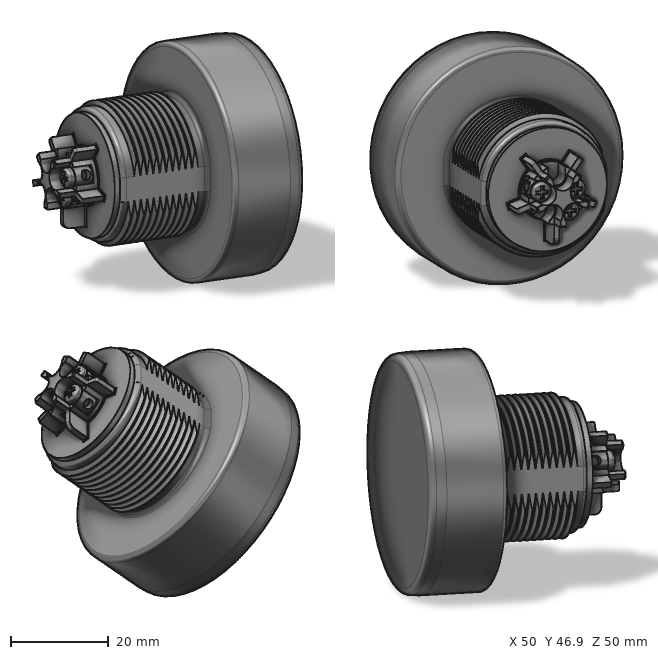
import cadquery as cq
import math


head_radius = 25.0
head_length = 16.55
head_front_fillet = 1.0
cap_length = 3.5
cap_back_radius = 24.7
cap_fillet = 1.5

stem_radius = 14.0
stem_length = 20.0
stem_fillet = 0.95
flat_distance = 13.75
disc_radius = 13.0
disc_length = 1.3

thread_radius = 15.0
thread_pitch = 1.5
thread_half_turns = 21
thread_start = 2.2
thread_crest = thread_pitch / 8
thread_overlap = 0.15
thread_flank_angle = 30

station_count = 5
station_step = 360 / station_count
station_circle = 3.95
block_start = stem_length + disc_length
block_radius = 6.15
block_height = 5.25
foot_flare = 0.25
foot_angle = 45
crown_start = block_start + block_height
crown_height = 3.8
crown_hub_radius = 3.5
crown_bore_radius = 2.2
pocket_radius = 1.9
pocket_floor = 1.15

rib_width = 1.2
rib_reach = 9.0
rib_corner = 0.4
key_rib_reach = 10.6
key_rib_corner = 1.5
arm_reach = 6.0
arm_fillet = 0.3
arm_tip_chamfer = 0.3

screw_head_radius = 2.1
screw_head_height = 1.6
screw_head_fillet = 0.75
slot_length = 2.7
slot_width = 0.75
slot_depth = 0.8
wire_hole_radius = 1.05
wire_hole_height = 2.65

first_station = 90
station_angles = [first_station + i * station_step for i in range(station_count)]
rib_angles = [angle + station_step / 2 for angle in station_angles]
key_rib_angle = 270
empty_stations = (90, 234)
screw_stations = [angle for angle in station_angles if angle not in empty_stations]


def front_plane(depth):
    """Workplane facing -Y: local x is X, local y is Z."""
    return cq.Workplane("XZ", origin=(0, -depth, 0))


def turned(shape, angle):
    """Turn a shape drawn along +X about the part axis, from +X towards +Z."""
    return shape.rotate((0, 0, 0), (0, -1, 0), angle)


def make_head():
    cap_seam = head_length - cap_length
    profile = (
        cq.Workplane("XY")
        .moveTo(0, 0)
        .lineTo(head_radius, 0)
        .lineTo(head_radius, cap_seam)
        .lineTo(cap_back_radius, head_length)
        .lineTo(0, head_length)
        .close()
    )
    head = profile.revolve(360, (0, 0, 0), (0, 1, 0))
    head = head.faces("<Y").edges().fillet(head_front_fillet)
    return head.faces(">Y").edges().fillet(cap_fillet)


def between_flats(depth):
    """Slab between the two side flats, wider in Z than any stem feature."""
    return front_plane(0).rect(2 * flat_distance, 2 * head_radius).extrude(depth)


def make_stem():
    stem = front_plane(0).circle(stem_radius).extrude(stem_length)
    stem = stem.intersect(between_flats(stem_length))
    stem = stem.faces("<Y").edges().fillet(stem_fillet)
    disc = front_plane(stem_length).circle(disc_radius).extrude(disc_length)
    return stem.union(disc)


def make_head_and_stem():
    body = make_head().union(make_stem())
    margin = 0.05
    stem_root = cq.selectors.BoxSelector(
        (-thread_radius, -margin, -thread_radius),
        (thread_radius, margin, thread_radius),
        boundingbox=True,
    )
    return body.edges(stem_root).fillet(stem_fillet)


def make_half_turn():
    """Half a turn of thread from -X through -Z to +X, cut off at the flats."""
    root_radius = stem_radius - thread_overlap
    flank_run = (thread_radius - root_radius) * math.tan(math.radians(thread_flank_angle))
    half_crest = thread_crest / 2
    half_root = half_crest + flank_run
    path = cq.Wire.makeHelix(thread_pitch, thread_pitch / 2, root_radius)
    section = cq.Workplane("XZ").polyline([
        (root_radius, -half_root),
        (thread_radius, -half_crest),
        (thread_radius, half_crest),
        (root_radius, half_root),
    ]).close()
    ridge = section.sweep(cq.Workplane(path), isFrenet=True)
    ridge = ridge.rotate((0, 0, 0), (0, 0, 1), 180)
    ridge = ridge.rotate((0, 0, 0), (1, 0, 0), 90).translate((0, -thread_start, 0))
    return ridge.intersect(between_flats(stem_length))


def add_thread(stem):
    half_turn = make_half_turn()
    for i in range(thread_half_turns):
        advance = i * thread_pitch / 2
        stem = stem.union(turned(half_turn, 180 * i).translate((0, -advance, 0)))
    return stem


def make_bar(start, height, reach):
    """Bar as wide as a rib, from the axis out to +X."""
    return front_plane(start).center(reach / 2, 0).rect(reach, rib_width).extrude(height)


def make_rib(angle):
    is_key = math.isclose(angle % 360, key_rib_angle)
    reach = key_rib_reach if is_key else rib_reach
    corner = key_rib_corner if is_key else rib_corner
    rib = make_bar(block_start, block_height, reach)
    rib = rib.faces("<Y").edges(">X").fillet(corner)
    foot_length = reach + foot_flare
    foot = (
        front_plane(block_start)
        .center(foot_length / 2, 0)
        .rect(foot_length, rib_width + 2 * foot_flare)
        .extrude(foot_flare, taper=foot_angle)
    )
    return turned(rib.union(foot), angle)


def make_arm(angle):
    arm = make_bar(crown_start, crown_height, arm_reach)
    arm = arm.faces("<Y").edges(">X").chamfer(arm_tip_chamfer)
    foot = (
        cq.Workplane("XY", origin=(0, 0, -rib_width / 2))
        .moveTo(arm_reach, -crown_start)
        .lineTo(arm_reach + arm_fillet, -crown_start)
        .radiusArc((arm_reach, -crown_start - arm_fillet), -arm_fillet)
        .close()
        .extrude(rib_width)
    )
    return turned(arm.union(foot), angle)


def make_block():
    block = front_plane(block_start).circle(block_radius).extrude(block_height)
    foot = (
        front_plane(block_start)
        .circle(block_radius + foot_flare)
        .extrude(foot_flare, taper=foot_angle)
    )
    hub = front_plane(crown_start).circle(crown_hub_radius).extrude(crown_height)
    block = block.union(foot).union(hub)
    for angle in rib_angles:
        block = block.union(make_rib(angle)).union(make_arm(angle))
    for angle in station_angles:
        block = block.cut(make_pocket(angle))
    return block


def make_pocket(angle):
    """Wire pocket open to the front and outwards, with a wider bore through the crown."""
    floor = block_start + pocket_floor
    depth = block_height - pocket_floor
    bore = front_plane(floor).center(station_circle, 0).circle(pocket_radius).extrude(depth)
    mouth_length = block_radius
    mouth = (
        front_plane(floor)
        .center(station_circle + mouth_length / 2, 0)
        .rect(mouth_length, 2 * pocket_radius)
        .extrude(depth)
    )
    crown_bore = (
        front_plane(crown_start)
        .center(station_circle, 0)
        .circle(crown_bore_radius)
        .extrude(crown_height)
    )
    return turned(bore.union(mouth).union(crown_bore), angle)


def make_terminal(angle):
    barrel = (
        front_plane(block_start)
        .center(station_circle, 0)
        .circle(pocket_radius)
        .extrude(block_height)
    )
    wire_hole = (
        cq.Workplane("YZ", origin=(station_circle, -block_start - wire_hole_height, 0))
        .circle(wire_hole_radius)
        .extrude(2 * pocket_radius)
    )
    head = (
        front_plane(crown_start)
        .center(station_circle, 0)
        .circle(screw_head_radius)
        .extrude(screw_head_height)
        .faces("<Y").edges().fillet(screw_head_fillet)
    )
    terminal = barrel.cut(wire_hole).union(head)
    for turn in (0, 90):
        slot = (
            front_plane(crown_start + screw_head_height - slot_depth)
            .center(station_circle, 0)
            .transformed(rotate=(0, 0, turn - angle))
            .rect(slot_length, slot_width)
            .extrude(slot_depth)
        )
        terminal = terminal.cut(slot)
    return turned(terminal, angle)


body = add_thread(make_head_and_stem()).union(make_block())
for station in screw_stations:
    body = body.union(make_terminal(station))

result = body